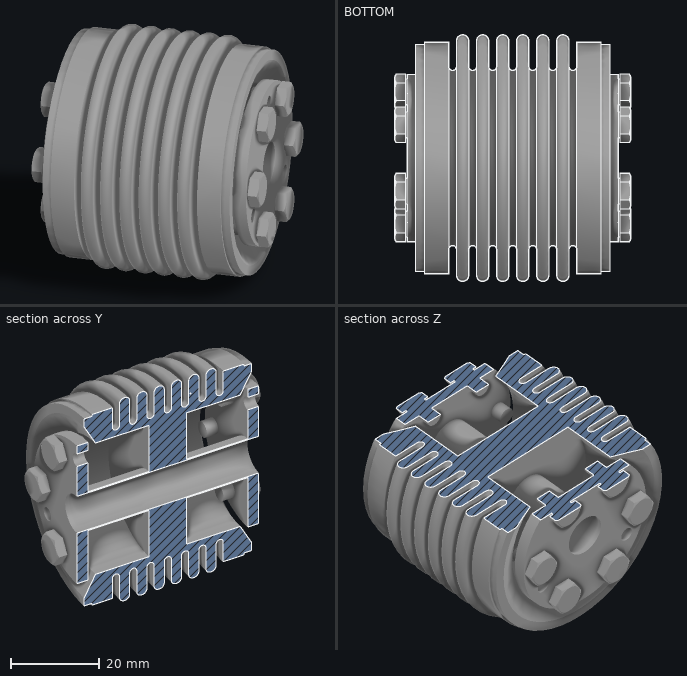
import cadquery as cq
import math

half_length = 53.61 / 2

crest_count = 6
crest_diameter = 56.0
root_diameter = 39.8
crest_width = 2.82
bellows_end_x = 14.5

band_diameter = 52.6
band_end_x = 20.05
lip_diameter = 51.6
lip_end_x = 22.05
mouth_diameter = 47.0
mouth_end_x = 19.05

pocket_diameter = 36.0
pocket_floor_x = 5.0

disc_diameter = 38.0
disc_thickness = 3.0
disc_face_x = 23.95
disc_back_x = disc_face_x - disc_thickness
neck_diameter = 10.8
bore_diameter = 10.0

bolt_circle_radius = 15.0
bolt_count = 6
bolt_start_angle = 0.0
small_hole_count = 3
small_hole_start_angle = 90.0
small_hole_diameter = 3.3

head_sides = 6
head_flats = 7.0
head_corners = head_flats / math.cos(math.pi / head_sides)
head_height = 2.5
head_base_x = half_length - head_height
head_face_diameter = 6.8
head_chamfer_angle = 30.0
collar_diameter = 5.9
shank_diameter = 4.0
shank_projection = 3.0


def cylinder(diameter, start_x, end_x):
    """Cylinder on the X axis."""
    return cq.Workplane("YZ").workplane(offset=start_x).circle(diameter / 2).extrude(end_x - start_x)


def revolve_outline(outline):
    """Solid of revolution about X from (x, radius) points."""
    return cq.Workplane("XY").polyline(outline).close().revolve(360, (0, 0, 0), (1, 0, 0))


def bolt_circle_points(count, start_angle):
    """Evenly spaced (y, z) points on the bolt circle."""
    points = []
    for index in range(count):
        angle = math.radians(start_angle + index * 360.0 / count)
        points.append((bolt_circle_radius * math.cos(angle), bolt_circle_radius * math.sin(angle)))
    return points


def make_bellows():
    """Round crests and round roots joined by flat walls, with a pocket in each end."""
    root_count = crest_count + 1
    root_width = (2 * bellows_end_x - crest_count * crest_width) / root_count
    crest_top = crest_diameter / 2
    root_bottom = root_diameter / 2
    wall_outer = crest_top - crest_width / 2
    wall_inner = root_bottom + root_width / 2

    x = -bellows_end_x
    profile = cq.Workplane("XY").moveTo(x, 0).lineTo(x, wall_inner)
    for index in range(root_count):
        profile = profile.threePointArc((x + root_width / 2, root_bottom), (x + root_width, wall_inner))
        x += root_width
        if index < crest_count:
            profile = profile.lineTo(x, wall_outer)
            profile = profile.threePointArc((x + crest_width / 2, crest_top), (x + crest_width, wall_outer))
            x += crest_width
            profile = profile.lineTo(x, wall_inner)
    bellows = profile.lineTo(x, 0).close().revolve(360, (0, 0, 0), (1, 0, 0))

    pocket = cylinder(pocket_diameter, pocket_floor_x, bellows_end_x)
    return bellows.cut(pocket).cut(pocket.mirror("YZ"))


def make_end_ring():
    """Ring at the +X end of the bellows."""
    return revolve_outline([
        (bellows_end_x, pocket_diameter / 2),
        (bellows_end_x, band_diameter / 2),
        (band_end_x, band_diameter / 2),
        (band_end_x, lip_diameter / 2),
        (lip_end_x, lip_diameter / 2),
        (lip_end_x, mouth_diameter / 2),
        (mouth_end_x, pocket_diameter / 2),
    ])


def make_bolt():
    """Hexagon bolt on the X axis, corners along Y, with chamfered corners on the outer face."""
    head = cq.Workplane("YZ").workplane(offset=head_base_x).polygon(head_sides, head_corners)
    head = head.extrude(head_height)
    chamfer_width = (head_corners - head_face_diameter) / 2
    chamfer_depth = chamfer_width * math.tan(math.radians(head_chamfer_angle))
    envelope = revolve_outline([
        (head_base_x, 0),
        (head_base_x, head_corners / 2),
        (half_length - chamfer_depth, head_corners / 2),
        (half_length, head_face_diameter / 2),
        (half_length, 0),
    ])
    collar = cylinder(collar_diameter, disc_face_x, head_base_x)
    shank = cylinder(shank_diameter, disc_back_x - shank_projection, head_base_x)
    return head.intersect(envelope).union(collar).union(shank)


def make_hub():
    """Neck and disc of the +X end, with the small holes through the disc and the bolts in place."""
    neck = cylinder(neck_diameter, pocket_floor_x, disc_back_x)
    hub = cylinder(disc_diameter, disc_back_x, disc_face_x).union(neck)

    small_hole = cylinder(small_hole_diameter, disc_back_x, disc_face_x)
    for y, z in bolt_circle_points(small_hole_count, small_hole_start_angle):
        hub = hub.cut(small_hole.translate((0, y, z)))

    bolt = make_bolt()
    for y, z in bolt_circle_points(bolt_count, bolt_start_angle):
        hub = hub.union(bolt.translate((0, y, z)))
    return hub


end_ring = make_end_ring()
hub = make_hub()
body = make_bellows()
for end_part in (end_ring, hub):
    body = body.union(end_part).union(end_part.mirror("YZ"))
bore = cylinder(bore_diameter, -half_length, half_length)
result = body.cut(bore)